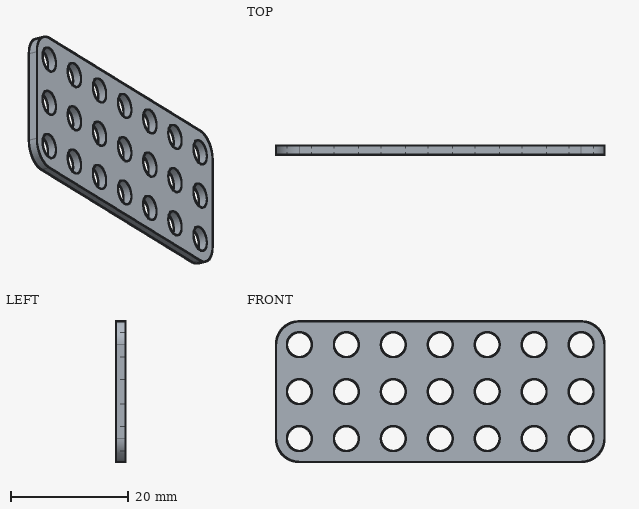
import cadquery as cq

length = 56.0
columns = 7
rows = 3
thickness = 1.6
hole_diameter = 4.2

pitch = length / columns
height = rows * pitch
corner_radius = pitch / 2


def rounded_plate():
    """Upright plate, thin along Y, centred on the origin."""
    return cq.Workplane("XY").box(length, thickness, height).edges("|Y").fillet(corner_radius)


def drill_hole_grid(plate):
    """Drill the full grid of through holes from the front face."""
    return (
        plate.faces("<Y")
        .workplane(centerOption="CenterOfBoundBox")
        .rarray(pitch, pitch, columns, rows)
        .hole(hole_diameter)
    )


result = drill_hole_grid(rounded_plate())